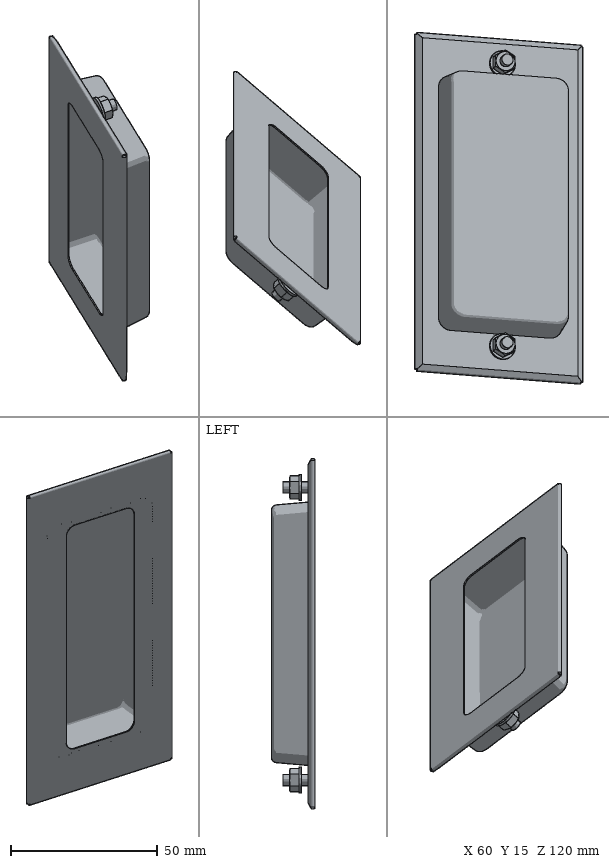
import cadquery as cq
import math

PLATE_WIDTH = 60.0
PLATE_HEIGHT = 120.0
OVERALL_DEPTH = 15.0

RAIL_RADIUS = 0.78
PLATE_THICKNESS = 2.5
BACK_SLOPE = 30.0
OPENING_WIDTH = 28.3
OPENING_HEIGHT = 86.6
OPENING_RADIUS = 3.6

SHEET_THICKNESS = 0.5

CUP_WIDTH = 44.5
CUP_HEIGHT = 90.5
CUP_DEPTH = OVERALL_DEPTH - SHEET_THICKNESS
CUP_DRAFT = 5.0
CUP_CORNER_RADIUS = 4.5
CUP_FLOOR_RADIUS = 1.9

STUD_OFFSET = 50.0
STUD_DIAMETER = 4.0
STUD_TIP = 11.0
WASHER_DIAMETER = 9.0
WASHER_THICKNESS = 0.8
WASHER_BACK = 5.5
NUT_ACROSS_FLATS = 7.0
NUT_THICKNESS = 3.2
NUT_LAND_DIAMETER = 6.7
NUT_CHAMFER_DEPTH = 0.2
NUT_TURN = 30.0


def plane_at(depth, height=0.0):
    """Sketch plane facing +Y, at a depth behind the front face and a height Z."""
    return cq.Workplane(cq.Plane((0, depth, height), xDir=(1, 0, 0), normal=(0, 1, 0)))


def cup_block(inset):
    """Block from the cup mouth toward +Y, inset from the outside of the cup at its walls and floor."""
    block = plane_at(SHEET_THICKNESS).rect(CUP_WIDTH - 2 * inset, CUP_HEIGHT - 2 * inset)
    block = block.extrude(CUP_DEPTH - inset, taper=CUP_DRAFT)
    drafted_corners = block.edges("not(#Y or |X or |Z)")
    block = drafted_corners.fillet(CUP_CORNER_RADIUS - inset)
    return block.faces(">Y").edges().fillet(CUP_FLOOR_RADIUS - inset)


def make_cup():
    return cup_block(0).cut(cup_block(SHEET_THICKNESS))


def make_rails():
    """Round bars along the four sides of the plate, ending at the corners without rounding them."""
    side_length = PLATE_HEIGHT - 2 * RAIL_RADIUS
    end_length = PLATE_WIDTH - 2 * RAIL_RADIUS
    side_x = end_length / 2
    end_z = side_length / 2
    side_rails = cq.Workplane("XY", origin=(0, RAIL_RADIUS, -end_z))
    side_rails = side_rails.pushPoints([(-side_x, 0), (side_x, 0)]).circle(RAIL_RADIUS).extrude(side_length)
    end_rails = cq.Workplane("YZ", origin=(-side_x, RAIL_RADIUS, 0))
    end_rails = end_rails.pushPoints([(0, -end_z), (0, end_z)]).circle(RAIL_RADIUS).extrude(end_length)
    return side_rails.union(end_rails)


def make_plate():
    core_width = PLATE_WIDTH - 2 * RAIL_RADIUS
    core_height = PLATE_HEIGHT - 2 * RAIL_RADIUS
    slope = math.radians(BACK_SLOPE)
    slope_start = RAIL_RADIUS * (1 + math.cos(slope))
    slope_margin = 2 * RAIL_RADIUS * math.sin(slope)
    core = plane_at(0).rect(core_width, core_height).extrude(slope_start)
    back = plane_at(slope_start).rect(core_width + slope_margin, core_height + slope_margin)
    back = back.extrude(PLATE_THICKNESS - slope_start, taper=90 - BACK_SLOPE)
    opening = plane_at(0).rect(OPENING_WIDTH, OPENING_HEIGHT).extrude(PLATE_THICKNESS)
    opening = opening.edges("|Y").fillet(OPENING_RADIUS)
    cup_seat = cup_block(0)
    return core.union(back).union(make_rails()).cut(opening).cut(cup_seat)


def make_stud(height):
    return plane_at(PLATE_THICKNESS, height).circle(STUD_DIAMETER / 2).extrude(STUD_TIP - PLATE_THICKNESS)


def make_washer(height):
    ring = plane_at(WASHER_BACK - WASHER_THICKNESS, height).circle(WASHER_DIAMETER / 2)
    return ring.circle(STUD_DIAMETER / 2).extrude(WASHER_THICKNESS)


def make_nut(height):
    corner_radius = NUT_ACROSS_FLATS / math.sqrt(3)
    hexagon = plane_at(WASHER_BACK, height).transformed(rotate=(0, 0, NUT_TURN))
    hexagon = hexagon.polygon(6, 2 * corner_radius).extrude(NUT_THICKNESS)
    bore = plane_at(WASHER_BACK, height).circle(STUD_DIAMETER / 2).extrude(NUT_THICKNESS)
    trimmer = plane_at(WASHER_BACK, height).circle(corner_radius).extrude(NUT_THICKNESS)
    trimmer = trimmer.faces(">Y").chamfer(NUT_CHAMFER_DEPTH, corner_radius - NUT_LAND_DIAMETER / 2)
    return hexagon.intersect(trimmer).cut(bore)


plate = make_plate()
cup = make_cup()

fasteners = []
for stud_height in (-STUD_OFFSET, STUD_OFFSET):
    stud = make_stud(stud_height)
    washer = make_washer(stud_height)
    nut = make_nut(stud_height)
    fasteners += [stud.val(), washer.val(), nut.val()]

result = cq.Compound.makeCompound([plate.val(), cup.val(), *fasteners])